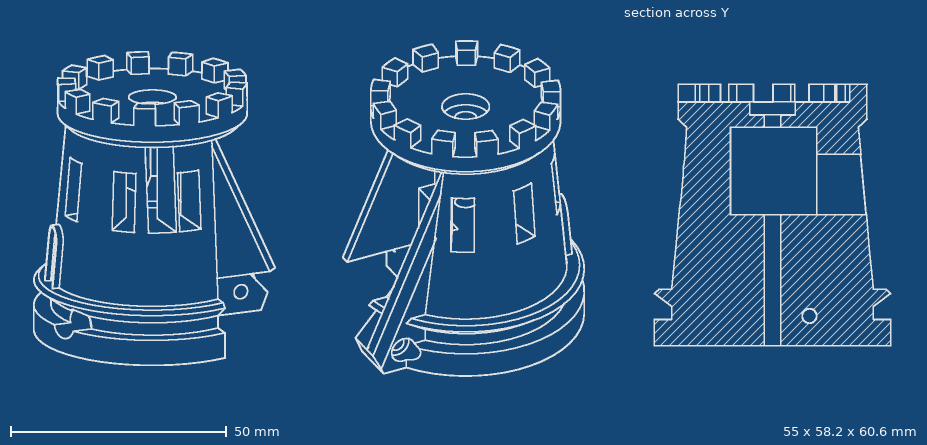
import cadquery as cq
import math

BASE_TOP = 6.1
NECK_TOP = 9.1
RIM_EDGE = 12.1
RIM_TOP = 13.1
FLOOR = 30.4
WINDOW_TOP = 44.3
CROWN_BOTTOM = 50.6
CROWN_EDGE = 52.5
CROWN_TOP = 56.5
TOTAL_HEIGHT = 60.6

BASE_RADIUS = 27.5
RIM_TOP_RADIUS = 26.4
TOWER_BOTTOM_RADIUS = 23.5
TOWER_TOP_RADIUS = 20.05
CROWN_RADIUS = 22.0

MERLON_COUNT = 13
MERLON_PITCH = 360 / MERLON_COUNT
MERLON_ANGLE = 13.3
MERLON_INNER_RADIUS = 18.0
WINDOW_COUNT = 6
WINDOW_PITCH = 42.0
FIRST_WINDOW_ANGLE = 0.9
WINDOW_WIDTH = 5.4

HOOD_LEFT = -14.9
HOOD_RIGHT = 14.65
CHAMBER_LEFT = -9.7
CHAMBER_RIGHT = 10.2
CHAMBER_FRONT = -9.35
REAR_CUT_Y = 7.0
HOOD_REAR = 30.72
HOOD_REAR_HEIGHT = 4.2
HOOD_FOOT_Y = 29.0
HOOD_SLOPE = 0.4525
HOOD_CHAMFER = 2.1
SIDE_SLOT_REAR = -3.15
LUG_RIGHT = -3.9
RECESS_TOP = 15.5

CENTRE_HOLE = 5.0
CENTRE_BORE = 11.0
CENTRE_BORE_DEPTH = 3.0
SCREW_HOLE = 3.3
SCREW_BORE = 6.5
SCREW_X = 8.56
SCREW_Z = 6.9
SCREW_SEAT_Y = -18.0
PIN_HOLE = 3.4
PIN_BORE = 6.0
PIN_Y = 23.9
PIN_Z = 5.1
PIN_SEAT_X = HOOD_LEFT + 3.0

DOOR_X = -3.4
DOOR_OUTER_RADIUS = 3.55
DOOR_INNER_RADIUS = 2.1
DOOR_FACE_RADIUS = 3.05
DOOR_SPRING = 23.6
DOOR_DEPTH = 1.65

MARGIN = 5.0
REACH = BASE_RADIUS + MARGIN


def box(x0, x1, y0, y1, z0, z1):
    """Axis-aligned block between two corners."""
    return cq.Workplane("XY").box(x1 - x0, y1 - y0, z1 - z0, centered=False).translate((x0, y0, z0))


def drill(plane, origin, diameter, length):
    """Round cutter along the plane's normal."""
    return cq.Workplane(plane, origin=origin).circle(diameter / 2).extrude(length)


def turned_body():
    """Base, grooved neck, rim, tapered tower and crown disc."""
    profile = [
        (0, 0),
        (BASE_RADIUS, 0),
        (BASE_RADIUS, BASE_TOP),
        (TOWER_BOTTOM_RADIUS, BASE_TOP),
        (TOWER_BOTTOM_RADIUS, NECK_TOP),
        (BASE_RADIUS, RIM_EDGE),
        (RIM_TOP_RADIUS, RIM_TOP),
        (TOWER_BOTTOM_RADIUS, RIM_TOP),
        (TOWER_TOP_RADIUS, CROWN_BOTTOM),
        (CROWN_RADIUS, CROWN_EDGE),
        (CROWN_RADIUS, TOTAL_HEIGHT),
        (0, TOTAL_HEIGHT),
    ]
    body = cq.Workplane("XZ").polyline(profile).close().revolve(360, (0, 0), (0, 1))
    tower_cut = box(HOOD_LEFT, REACH, REAR_CUT_Y, REACH, RIM_TOP, CROWN_BOTTOM)
    base_cut = box(LUG_RIGHT, REACH, REAR_CUT_Y, REACH, 0, RIM_TOP)
    return body.cut(tower_cut).cut(base_cut)


def hood():
    """Sloped rear block with chamfered outer edges, hollowed above the ramp."""
    top_y = HOOD_REAR - HOOD_SLOPE * (CROWN_BOTTOM - HOOD_REAR_HEIGHT)
    profile = [
        (0, 0),
        (HOOD_FOOT_Y, 0),
        (HOOD_REAR, HOOD_REAR_HEIGHT),
        (top_y, CROWN_BOTTOM),
        (0, CROWN_BOTTOM),
    ]
    block = (
        cq.Workplane("YZ", origin=(HOOD_LEFT, 0, 0))
        .polyline(profile)
        .close()
        .extrude(HOOD_RIGHT - HOOD_LEFT)
    )
    slope_direction = cq.Vector(0, -HOOD_SLOPE, 1)
    block = block.edges(cq.selectors.ParallelDirSelector(slope_direction)).chamfer(HOOD_CHAMFER)
    above_ramp = [
        (REAR_CUT_Y, FLOOR),
        (HOOD_REAR, HOOD_REAR_HEIGHT),
        (HOOD_REAR, CROWN_BOTTOM),
        (REAR_CUT_Y, CROWN_BOTTOM),
    ]
    channel = (
        cq.Workplane("YZ", origin=(CHAMBER_LEFT, 0, 0))
        .polyline(above_ramp)
        .close()
        .extrude(CHAMBER_RIGHT - CHAMBER_LEFT)
    )
    recess = box(LUG_RIGHT, REACH, REAR_CUT_Y, REACH, 0, RECESS_TOP)
    beside_lug = box(LUG_RIGHT, CHAMBER_RIGHT, REAR_CUT_Y, REACH, 0, FLOOR)
    return block.cut(channel).cut(recess).cut(beside_lug)


def chamber():
    """Room above the floor, open to the rear, with a slot through the +X wall."""
    room = box(CHAMBER_LEFT, CHAMBER_RIGHT, CHAMBER_FRONT, REACH, FLOOR, CROWN_BOTTOM)
    side_slot = box(0, REACH, CHAMBER_FRONT, SIDE_SLOT_REAR, FLOOR, CROWN_BOTTOM)
    return room.union(side_slot)


def windows():
    """Parallel-sided openings from the chamber outwards, spaced clockwise from the +X window."""
    half = WINDOW_WIDTH / 2
    cutter = box(0, REACH, -half, half, FLOOR, WINDOW_TOP)
    openings = cutter.rotate((0, 0, 0), (0, 0, 1), FIRST_WINDOW_ANGLE)
    for index in range(1, WINDOW_COUNT):
        angle = FIRST_WINDOW_ANGLE - index * WINDOW_PITCH
        openings = openings.union(cutter.rotate((0, 0, 0), (0, 0, 1), angle))
    return openings


def battlement_gaps():
    """Space above the crown floor around a ring of radial-sided teeth, the first centred on +X."""
    half = math.radians(MERLON_ANGLE / 2)
    inner_y = MERLON_INNER_RADIUS * math.sin(half)
    inner_x = MERLON_INNER_RADIUS * math.cos(half)
    outer_x = CROWN_RADIUS + MARGIN
    outer_y = outer_x * math.tan(half)
    tooth = (
        cq.Workplane("XY", origin=(0, 0, CROWN_TOP))
        .polyline([(inner_x, -inner_y), (outer_x, -outer_y), (outer_x, outer_y), (inner_x, inner_y)])
        .close()
        .extrude(TOTAL_HEIGHT - CROWN_TOP)
    )
    gaps = drill("XY", (0, 0, CROWN_TOP), 2 * CROWN_RADIUS + MARGIN, TOTAL_HEIGHT - CROWN_TOP)
    for index in range(MERLON_COUNT):
        gaps = gaps.cut(tooth.rotate((0, 0, 0), (0, 0, 1), index * MERLON_PITCH))
    return gaps


def arch(workplane, radius, spring):
    """Closed round-headed outline standing on the workplane's local X axis."""
    return (
        workplane.moveTo(-radius, 0)
        .lineTo(radius, 0)
        .lineTo(radius, spring)
        .threePointArc((0, spring + radius), (-radius, spring))
        .close()
    )


def door_frame():
    """Round-headed frame standing proud of the tower, its opening flared outwards."""
    rise = DOOR_SPRING - RIM_TOP
    lean = math.atan((TOWER_BOTTOM_RADIUS - TOWER_TOP_RADIUS) / (CROWN_BOTTOM - RIM_TOP))
    flare = math.degrees(math.atan((DOOR_FACE_RADIUS - DOOR_INNER_RADIUS) / DOOR_DEPTH))
    wall_y = -math.sqrt(TOWER_BOTTOM_RADIUS**2 - DOOR_X**2)
    face_cone = (
        cq.Workplane("XZ")
        .moveTo(0, RIM_TOP)
        .lineTo(TOWER_BOTTOM_RADIUS + DOOR_DEPTH, RIM_TOP)
        .lineTo(TOWER_TOP_RADIUS + DOOR_DEPTH, CROWN_BOTTOM)
        .lineTo(0, CROWN_BOTTOM)
        .close()
        .revolve(360, (0, 0), (0, 1))
    )
    upright = cq.Workplane("XZ", origin=(DOOR_X, wall_y + MARGIN, RIM_TOP))
    slab = arch(upright, DOOR_OUTER_RADIUS, rise).extrude(2 * MARGIN)
    leaning = cq.Plane(
        origin=(DOOR_X, wall_y, RIM_TOP),
        xDir=(1, 0, 0),
        normal=(0, -math.cos(lean), math.sin(lean)),
    )
    skirt = cq.Workplane(leaning).center(0, -MARGIN)
    opening = arch(skirt, DOOR_INNER_RADIUS, rise + MARGIN).extrude(2 * DOOR_DEPTH, taper=-flare)
    bed = arch(skirt, DOOR_INNER_RADIUS, rise + MARGIN).extrude(-MARGIN)
    return slab.intersect(face_cone).cut(opening).cut(bed)


def holes():
    """Centre hole, front screw hole and hinge pin hole, each with its counterbore."""
    centre = drill("XY", (0, 0, 0), CENTRE_HOLE, TOTAL_HEIGHT)
    centre_seat = (0, 0, CROWN_TOP - CENTRE_BORE_DEPTH)
    centre = centre.union(drill("XY", centre_seat, CENTRE_BORE, CENTRE_BORE_DEPTH))
    screw = drill("XZ", (SCREW_X, REAR_CUT_Y, SCREW_Z), SCREW_HOLE, 2 * REACH)
    screw = screw.union(drill("XZ", (SCREW_X, SCREW_SEAT_Y, SCREW_Z), SCREW_BORE, REACH))
    pin = drill("YZ", (-REACH, PIN_Y, PIN_Z), PIN_HOLE, REACH + LUG_RIGHT)
    pin = pin.union(drill("YZ", (-REACH, PIN_Y, PIN_Z), PIN_BORE, REACH + PIN_SEAT_X))
    return centre.union(screw).union(pin)


result = (
    turned_body()
    .union(hood())
    .cut(chamber().union(windows()))
    .union(door_frame())
    .cut(battlement_gaps())
    .cut(holes())
)